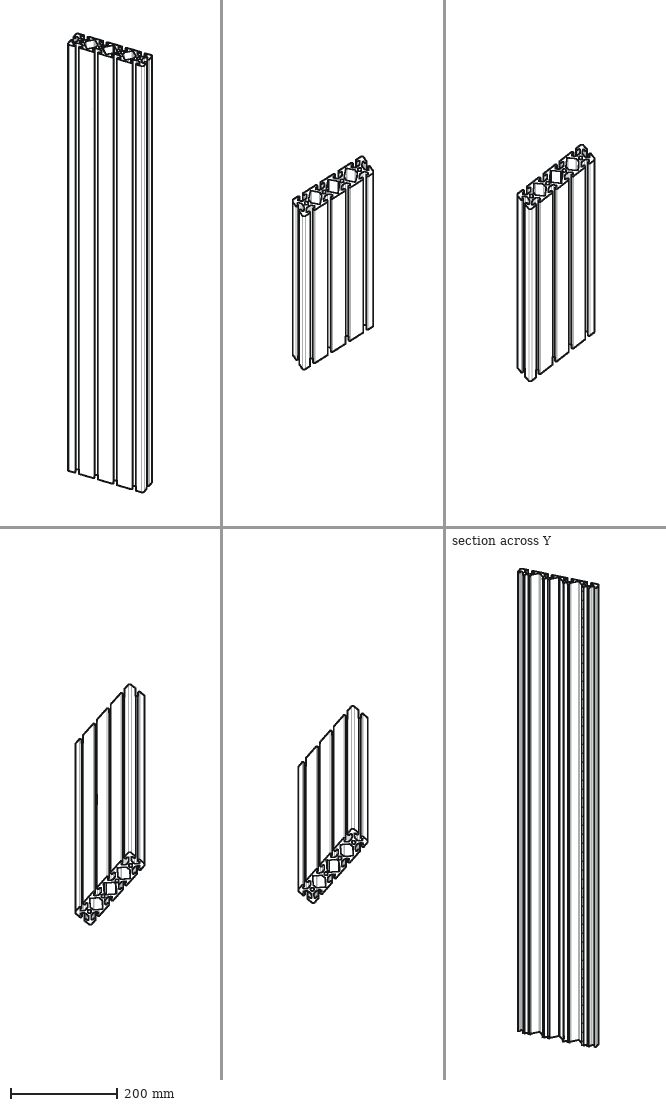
import cadquery as cq
LENGTH = 1000.0
CELL = 40.0
CELL_COUNT = 4
WIDTH = CELL * CELL_COUNT
HEIGHT = CELL
CORNER_RADIUS = 4.0
WALL = 4.5

SLOT_OPENING = 8.0
SLOT_INNER_WIDTH = 19.0
SLOT_FLOOR_WIDTH = 9.0
CORE_HALF_THICKNESS = 7.7
MOUTH_RADIUS = 1.5
LIP_INNER_RADIUS = 1.0
SLOT_TOP_CORNER_RADIUS = 1.0
SLOT_SIDE_CORNER_RADIUS = 3.0
SLOT_FLOOR_RADIUS = 5.6

BORE_DIAMETER = 6.8

CHAMBER_DIAGONAL = 33.0
CHAMBER_HEIGHT = HEIGHT - 2 * WALL
CENTRE_CHAMBER_WIDTH = 28.0
SIDE_CHAMBER_WIDTH = 25.0
SIDE_CHAMBER_RADIUS = 1.0

POSITION_TOLERANCE = 0.1

cell_centres = [CELL * (i - (CELL_COUNT - 1) / 2) for i in range(CELL_COUNT)]

slot_places = [(x, 0) for x in cell_centres] + [(x, 180) for x in cell_centres]
slot_places += [(cell_centres[0], 90), (cell_centres[-1], -90)]


def prism(points):
    """Extrude a closed outline along the full length."""
    return cq.Workplane("XY").polyline(points).close().extrude(LENGTH)


def round_edge(body, point, radius):
    """Fillet the lengthwise edge of a prism that passes through the given outline point."""
    x, y = point
    t = POSITION_TOLERANCE
    box = cq.selectors.BoxSelector((x - t, y - t, 0), (x + t, y + t, LENGTH))
    return body.edges("|Z").edges(box).fillet(radius)


def slot_cutter():
    """T-slot opening toward +Y, with a 45-degree taper down to its floor."""
    face = HEIGHT / 2
    opening = SLOT_OPENING / 2
    inner = SLOT_INNER_WIDTH / 2
    floor = SLOT_FLOOR_WIDTH / 2
    lip = face - WALL
    taper_top = CORE_HALF_THICKNESS + inner - floor
    half = [
        (opening, face, 0),
        (opening, lip, LIP_INNER_RADIUS),
        (inner, lip, SLOT_TOP_CORNER_RADIUS),
        (inner, taper_top, SLOT_SIDE_CORNER_RADIUS),
        (floor, CORE_HALF_THICKNESS, SLOT_FLOOR_RADIUS),
    ]
    outline = half + [(-x, y, radius) for x, y, radius in reversed(half)]
    cutter = prism([(x, y) for x, y, radius in outline])
    for x, y, radius in outline:
        if radius > 0:
            cutter = round_edge(cutter, (x, y), radius)
    return cutter


def round_mouths(body):
    """Round both outer edges of every slot opening."""
    half_width = WIDTH / 2
    half_height = HEIGHT / 2
    for offset in (-SLOT_OPENING / 2, SLOT_OPENING / 2):
        for side in (-1, 1):
            for x in cell_centres:
                body = round_edge(body, (x + offset, side * half_height), MOUTH_RADIUS)
            body = round_edge(body, (side * half_width, offset), MOUTH_RADIUS)
    return body


def chamber(width):
    """Diamond-shaped chamber with flat tips."""
    tip_x = width / 2
    tip_y = CHAMBER_HEIGHT / 2
    flat_x = CHAMBER_DIAGONAL / 2 - tip_y
    flat_y = CHAMBER_DIAGONAL / 2 - tip_x
    return prism([
        (tip_x, flat_y), (flat_x, tip_y), (-flat_x, tip_y), (-tip_x, flat_y),
        (-tip_x, -flat_y), (-flat_x, -tip_y), (flat_x, -tip_y), (tip_x, -flat_y),
    ])


bar = cq.Workplane("XY").rect(WIDTH, HEIGHT).extrude(LENGTH).edges("|Z").fillet(CORNER_RADIUS)

slot = slot_cutter()
for centre, turn in slot_places:
    bar = bar.cut(slot.rotate((0, 0, 0), (0, 0, 1), turn).translate((centre, 0, 0)))
bar = round_mouths(bar)

bore_centres = [(x, 0) for x in cell_centres]
bores = cq.Workplane("XY").pushPoints(bore_centres).circle(BORE_DIAMETER / 2).extrude(LENGTH)
bar = bar.cut(bores)

bar = bar.cut(chamber(CENTRE_CHAMBER_WIDTH))
side_chamber = chamber(SIDE_CHAMBER_WIDTH).edges("|Z").fillet(SIDE_CHAMBER_RADIUS)
for centre in (-CELL, CELL):
    bar = bar.cut(side_chamber.translate((centre, 0, 0)))

result = bar